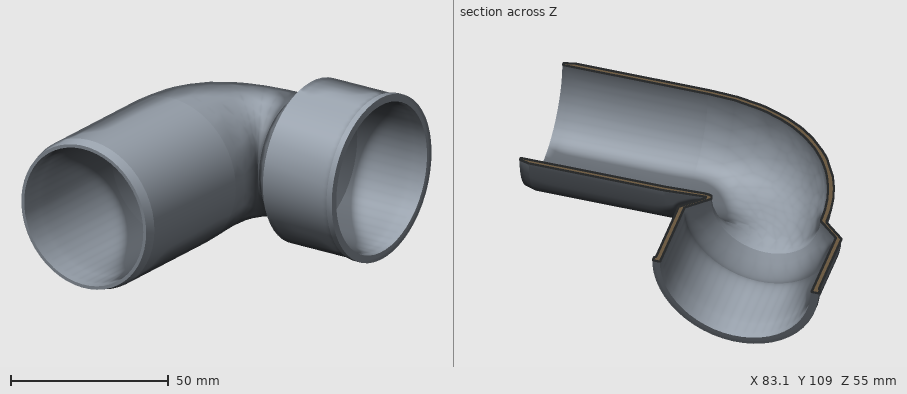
import cadquery as cq
import math

wall = 2.0

spigot_radius = 50.1 / 2
spigot_end_y = -81.5
spigot_length = 48.1
tip_taper_length = 3.3
tip_taper_angle = 15.0

throat_radius = 40.1 / 2
throat_x = 24.15
bend_intervals = 8
start_fullness = 0.70
end_fullness = 0.50
corner_sharpness = 4

collar_width = 0.5
socket_radius = 54.0 / 2
socket_bore_radius = 50.0 / 2
socket_depth = 27.0
socket_end_x = 58.0
rim_radius = 55.0 / 2
rim_width = 2.0

elbow_start_y = spigot_end_y + spigot_length
shoulder_start_x = throat_x + collar_width
shoulder_end_x = socket_end_x - socket_depth
rim_start_x = socket_end_x - rim_width


def back_point(t):
    """Point on the outside of the bend: a cubic curve from spigot (t=0) to throat (t=1)."""
    start_x, start_y = -spigot_radius, elbow_start_y
    end_x, end_y = throat_x, throat_radius
    start_handle_y = start_y + start_fullness * (end_y - start_y)
    end_handle_x = end_x - end_fullness * (end_x - start_x)
    near_start = (1 - t) ** 3
    after_start = 3 * t * (1 - t) ** 2
    before_end = 3 * t ** 2 * (1 - t)
    near_end = t ** 3
    x = (near_start + after_start) * start_x + before_end * end_handle_x + near_end * end_x
    y = near_start * start_y + after_start * start_handle_y + (before_end + near_end) * end_y
    return cq.Vector(x, y, 0)


def corner_point(t):
    """Point on the inside of the bend: a straight line that crowds towards the throat."""
    start = cq.Vector(spigot_radius, elbow_start_y, 0)
    end = cq.Vector(throat_x, -throat_radius, 0)
    return start + (end - start) * (1 - (1 - t) ** corner_sharpness)


def elbow(inset):
    """Loft through circles that each span the bend from its outside to its inside."""
    sections = []
    for step in range(bend_intervals + 1):
        t = step / bend_intervals
        back = back_point(t)
        corner = corner_point(t)
        across = corner - back
        heading = cq.Vector(0, 0, 1).cross(across)
        plane = cq.Plane(origin=(back + corner) * 0.5, xDir=across, normal=heading)
        radius = across.Length / 2 - inset
        sections.append(cq.Workplane(plane).circle(radius).wire().val())
    return cq.Workplane(obj=cq.Solid.makeLoft(sections))


def spigot():
    """Solid spigot with a tapered tip."""
    tip_radius = spigot_radius - tip_taper_length * math.tan(math.radians(tip_taper_angle))
    profile = [
        (0, spigot_end_y),
        (tip_radius, spigot_end_y),
        (spigot_radius, spigot_end_y + tip_taper_length),
        (spigot_radius, elbow_start_y),
        (0, elbow_start_y),
    ]
    return cq.Workplane("XY").polyline(profile).close().revolve(360, (0, 0), (0, 1))


def spigot_bore():
    start = cq.Workplane("XZ", origin=(0, elbow_start_y, 0))
    return start.circle(spigot_radius - wall).extrude(spigot_length)


def turned_about_x(profile):
    return cq.Workplane("XY").polyline(profile).close().revolve(360, (0, 0), (1, 0))


def socket():
    """Solid socket: throat collar, conical shoulder, barrel and rim."""
    return turned_about_x([
        (throat_x, 0),
        (throat_x, throat_radius),
        (shoulder_start_x, throat_radius),
        (shoulder_end_x, socket_radius),
        (rim_start_x, socket_radius),
        (rim_start_x, rim_radius),
        (socket_end_x, rim_radius),
        (socket_end_x, 0),
    ])


def socket_bore():
    """Throat passage widening in a cone to the cylindrical socket bore."""
    throat_bore_radius = throat_radius - wall
    return turned_about_x([
        (throat_x, 0),
        (throat_x, throat_bore_radius),
        (shoulder_start_x, throat_bore_radius),
        (shoulder_end_x, socket_bore_radius),
        (socket_end_x, socket_bore_radius),
        (socket_end_x, 0),
    ])


outer = spigot().union(elbow(0)).union(socket())
bore = spigot_bore().union(elbow(wall)).union(socket_bore())
result = cq.Workplane(obj=outer.cut(bore).solids().val())